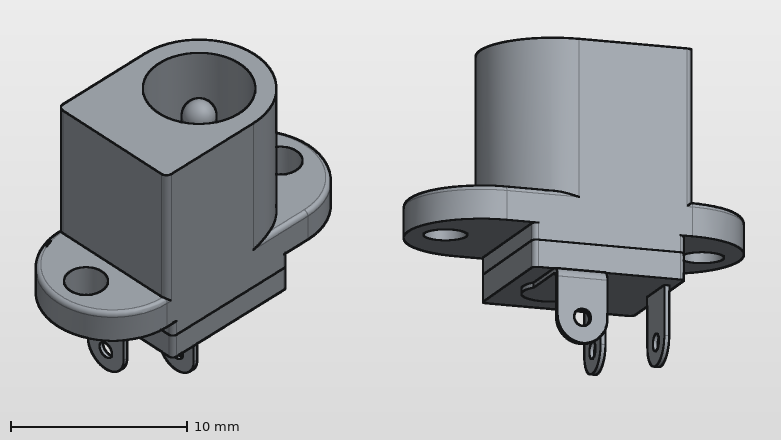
import cadquery as cq


base_top = 1.6
flange_bottom = 2.6
flange_top = 4.62
housing_top = 13.6

width = 8.8
flange_length = 20.0
flange_centre_y = -1.25
flange_edge_radius = 0.3
mount_hole_diameter = 2.5
mount_hole_spacing = 15.48

barrel_back_y = -6.92
barrel_corner_radius = 0.4
barrel_bottom = flange_top - flange_edge_radius
bore_diameter = 6.4
bore_depth = 9.0
pin_clearance_diameter = 3.0

foot_front_y = 2.75
foot_back_y = -6.42
foot_length = foot_front_y - foot_back_y
foot_centre_y = (foot_front_y + foot_back_y) / 2
foot_corner_radius = 0.3

pin_diameter = 2.0
pin_tip = 12.6
rivet_diameter = 3.58

sheet_thickness = 0.3
terminal_bottom = -4.4
terminal_hole_diameter = 1.0
bent_tab_width = 3.0
bent_tab_reach = 5.05
bend_outer_radius = 0.6
bend_inner_radius = bend_outer_radius - sheet_thickness
back_tab_width = 2.9
back_tab_x = -1.48
back_tab_y = -5.68
bent_tab_hole_z = -2.9
straight_tab_hole_z = -3.02
middle_tab_width = 2.8
middle_tab_x = 1.4
middle_tab_y = -2.88


def cylinder(diameter, bottom, top, y=0.0):
    """Vertical cylinder between two levels on the plane X = 0."""
    return cq.Workplane("XY", origin=(0, y, bottom)).circle(diameter / 2).extrude(top - bottom)


def foot_block(bottom, top):
    """Rectangular block with rounded vertical corners, shared by housing and base plate."""
    return (
        cq.Workplane("XY", origin=(0, foot_centre_y, bottom))
        .rect(width, foot_length)
        .extrude(top - bottom)
        .edges("|Z")
        .fillet(foot_corner_radius)
    )


def make_flange():
    """Stadium-shaped flange with a rounded upper rim."""
    return (
        cq.Workplane("XY", origin=(0, flange_centre_y, flange_bottom))
        .slot2D(flange_length, width, 90)
        .extrude(flange_top - flange_bottom)
        .faces(">Z")
        .edges()
        .fillet(flange_edge_radius)
    )


def make_barrel():
    """Upright barrel, half-round on +Y and square with rounded corners on -Y."""
    half_width = width / 2
    return (
        cq.Workplane("XY", origin=(0, 0, barrel_bottom))
        .moveTo(-half_width, barrel_back_y)
        .lineTo(half_width, barrel_back_y)
        .lineTo(half_width, 0)
        .threePointArc((0, half_width), (-half_width, 0))
        .close()
        .extrude(housing_top - barrel_bottom)
        .edges("|Z and <Y")
        .fillet(barrel_corner_radius)
    )


def make_housing():
    body = make_flange().union(make_barrel()).union(foot_block(base_top, flange_bottom))
    body = body.cut(cylinder(bore_diameter, housing_top - bore_depth, housing_top))
    body = body.cut(cylinder(pin_clearance_diameter, base_top, housing_top))
    for side in (-1, 1):
        hole_y = flange_centre_y + side * mount_hole_spacing / 2
        body = body.cut(cylinder(mount_hole_diameter, flange_bottom, flange_top, hole_y))
    return body


def make_tab(tab_width, top, hole_z):
    """Round-ended tab with a hole, hanging in the XZ plane and thickened toward -Y."""
    half_width = tab_width / 2
    arc_centre_z = terminal_bottom + half_width
    tab = (
        cq.Workplane("XZ")
        .moveTo(-half_width, top)
        .lineTo(-half_width, arc_centre_z)
        .threePointArc((0, terminal_bottom), (half_width, arc_centre_z))
        .lineTo(half_width, top)
        .close()
        .extrude(sheet_thickness)
    )
    hole = (
        cq.Workplane("XZ", origin=(0, 0, hole_z))
        .circle(terminal_hole_diameter / 2)
        .extrude(sheet_thickness)
    )
    return tab.cut(hole)


def make_bent_terminal():
    """Strip running under the base plate to the pin, bent down into a tab on the -X side."""
    bend_centre_x = -bent_tab_reach + bend_outer_radius
    bend = (
        cq.Workplane("XZ", origin=(bend_centre_x, bent_tab_width / 2, -bend_outer_radius))
        .moveTo(-bend_outer_radius, 0)
        .radiusArc((0, bend_outer_radius), bend_outer_radius)
        .lineTo(0, bend_inner_radius)
        .radiusArc((-bend_inner_radius, 0), -bend_inner_radius)
        .close()
        .extrude(bent_tab_width)
    )
    strip = cq.Workplane("XY").box(
        -bend_centre_x, bent_tab_width, sheet_thickness, centered=(False, True, False)
    ).translate((bend_centre_x, 0, -sheet_thickness))
    tab = (
        make_tab(bent_tab_width, -bend_outer_radius, bent_tab_hole_z)
        .rotate((0, 0, 0), (0, 0, 1), 90)
        .translate((-bent_tab_reach, 0, 0))
    )
    return strip.union(bend).union(tab)


def make_pin():
    """Contact pin with a hemispherical tip."""
    tip_centre_z = pin_tip - pin_diameter / 2
    tip = cq.Workplane("XY", origin=(0, 0, tip_centre_z)).sphere(pin_diameter / 2)
    return cylinder(pin_diameter, base_top, tip_centre_z).union(tip)


def make_base():
    """Base plate carrying the pin, its rivet head and the three terminals."""
    body = foot_block(0, base_top).union(make_pin())
    body = body.union(make_bent_terminal())
    body = body.union(cylinder(rivet_diameter, -sheet_thickness, 0))
    back_tab = make_tab(back_tab_width, 0, straight_tab_hole_z)
    body = body.union(back_tab.translate((back_tab_x, back_tab_y, 0)))
    middle_tab = make_tab(middle_tab_width, 0, straight_tab_hole_z)
    return body.union(middle_tab.translate((middle_tab_x, middle_tab_y, 0)))


housing = make_housing()
base = make_base()

result = cq.Compound.makeCompound([housing.val(), base.val()])